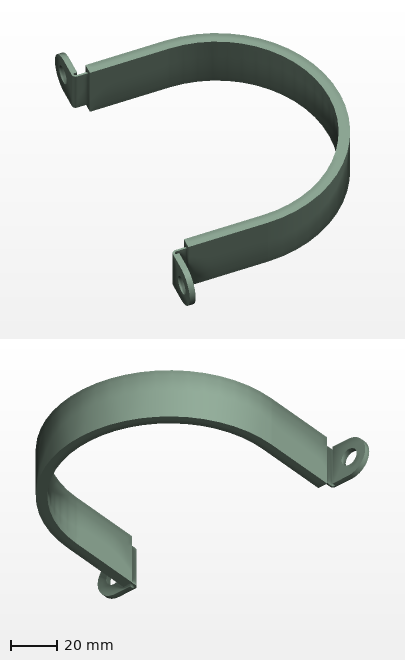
import cadquery as cq

overall_width = 152.0
overall_depth = 102.0

band_outer_radius = 57.9
band_thickness = 5.0
band_height = 25.0
leg_length = 37.2
band_inner_radius = band_outer_radius - band_thickness

strip_thickness = 0.9
strip_inner_face = 55.2
bend_outer_radius = 1.8
bend_inner_radius = bend_outer_radius - strip_thickness

ear_height = 19.9
ear_thickness = 2.7
ear_inner_end = 57.5
hole_diameter = 8.5
hole_edge_distance = 9.1

ear_radius = ear_height / 2
ear_tip = overall_width / 2
ear_arc_center = ear_tip - ear_radius
hole_center = ear_tip - hole_edge_distance
front_face = band_outer_radius - overall_depth


def make_band():
    """Half-round arch with two straight legs, centred on Z = 0."""
    return (
        cq.Workplane("XY")
        .workplane(offset=-band_height / 2)
        .moveTo(-band_outer_radius, -leg_length)
        .lineTo(-band_outer_radius, 0)
        .threePointArc((0, band_outer_radius), (band_outer_radius, 0))
        .lineTo(band_outer_radius, -leg_length)
        .lineTo(band_inner_radius, -leg_length)
        .lineTo(band_inner_radius, 0)
        .threePointArc((0, band_inner_radius), (-band_inner_radius, 0))
        .lineTo(-band_inner_radius, -leg_length)
        .close()
        .extrude(band_height)
    )


def make_strip():
    """Thin strip on the +X side, bent outward from the leg end to the ear."""
    strip_outer_face = strip_inner_face + strip_thickness
    strip_back_face = front_face + strip_thickness
    bend_end_x = strip_inner_face + bend_outer_radius
    bend_start_y = front_face + bend_outer_radius
    return (
        cq.Workplane("XY")
        .workplane(offset=-ear_height / 2)
        .moveTo(strip_inner_face, -leg_length)
        .lineTo(strip_inner_face, bend_start_y)
        .radiusArc((bend_end_x, front_face), -bend_outer_radius)
        .lineTo(ear_inner_end, front_face)
        .lineTo(ear_inner_end, strip_back_face)
        .lineTo(bend_end_x, strip_back_face)
        .radiusArc((strip_outer_face, bend_start_y), bend_inner_radius)
        .lineTo(strip_outer_face, -leg_length)
        .close()
        .extrude(ear_height)
    )


def make_ear():
    """Thick round-ended plate on the +X side with its mounting hole."""
    plate = (
        cq.Workplane("XZ", origin=(0, front_face, 0))
        .moveTo(ear_inner_end, -ear_radius)
        .lineTo(ear_arc_center, -ear_radius)
        .threePointArc((ear_tip, 0), (ear_arc_center, ear_radius))
        .lineTo(ear_inner_end, ear_radius)
        .close()
        .extrude(-ear_thickness)
    )
    hole = (
        cq.Workplane("XZ", origin=(0, front_face, 0))
        .center(hole_center, 0)
        .circle(hole_diameter / 2)
        .extrude(-ear_thickness)
    )
    return plate.cut(hole)


bracket = make_strip().union(make_ear())
result = make_band().union(bracket).union(bracket.mirror("YZ"))